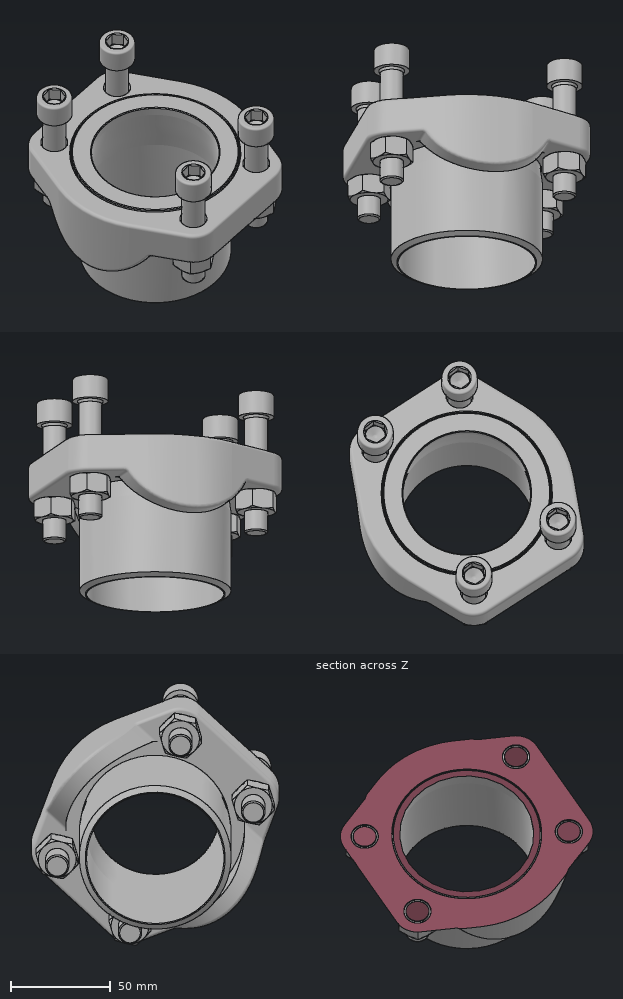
import cadquery as cq
import math

FLANGE_LENGTH = 115.0
FLANGE_TOP = 69.5
PLATE_THICKNESS = 19.1
PLATE_BOTTOM = FLANGE_TOP - PLATE_THICKNESS
CENTRE_RADIUS = 54.5
EDGE_FILLET = 2.0

SCREW_X = 88.9 / 2
SCREW_Y = 50.8 / 2
SCREW_POINTS = [(i * SCREW_X, j * SCREW_Y) for i in (-1, 1) for j in (-1, 1)]
SCREW_HOLE_DIAMETER = 13.5

LOBE_RADIUS = 36.0
LOBE_BOTTOM = 31.5
CREASE_FILLET = 2.0
LOBE_RECESS_DIAMETER = 89.7

FLANGE_BORE_DIAMETER = 75.0
COUNTERBORE_DIAMETER = 85.0
COUNTERBORE_CHAMFER = 0.5

SLEEVE_TOP = 70.0
COLLAR_DIAMETER = 84.1
COLLAR_BOTTOM = 62.0
COLLAR_CHAMFER = 0.5
NECK_DIAMETER = 74.0
NECK_BOTTOM = 49.9
TUBE_DIAMETER = 76.1
TUBE_TOP = 41.9
BEVEL_WIDTH = 3.0
BEVEL_HEIGHT = 1.7
MOUTH_DIAMETER = 64.0
MOUTH_BOTTOM = 65.0
MOUTH_CHAMFER = 0.5
TUBE_BORE_DIAMETER = 68.9

SCREW_TOP = 101.5
HEAD_DIAMETER = 18.0
HEAD_HEIGHT = 12.0
HEAD_FILLET = 1.2
NECKING_DIAMETER = 13.0
NECKING_HEIGHT = 1.4
SHANK_DIAMETER = 11.7
SHANK_LENGTH = 60.0
SHANK_CHAMFER = 0.7
SOCKET_WIDTH = 10.0
SOCKET_MOUTH_DIAMETER = 11.7
SOCKET_DEPTH = 7.0
SOCKET_TURN = 35.0

NUT_WIDTH = 19.0
NUT_HEIGHT = 10.0
COS_30 = math.cos(math.radians(30))
TAN_30 = math.tan(math.radians(30))


def flange_outline():
    """Centre arcs and corner arcs joined by their common tangent lines."""
    half_length = FLANGE_LENGTH / 2
    corner_radius = half_length - SCREW_X
    spacing = math.hypot(SCREW_X, SCREW_Y)
    normal = math.atan2(SCREW_Y, SCREW_X) + math.acos((CENTRE_RADIUS - corner_radius) / spacing)

    def on_centre_arc(angle):
        return CENTRE_RADIUS * math.cos(angle), CENTRE_RADIUS * math.sin(angle)

    def on_corner_arc(angle):
        return SCREW_X + corner_radius * math.cos(angle), SCREW_Y + corner_radius * math.sin(angle)

    def mirrored(point, x_sign, y_sign):
        return x_sign * point[0], y_sign * point[1]

    crown_end = on_centre_arc(normal)
    corner_start = on_corner_arc(normal)
    corner_middle = on_corner_arc(normal / 2)
    corner_end = on_corner_arc(0)
    return (
        cq.Workplane("XY")
        .moveTo(*mirrored(crown_end, -1, 1))
        .threePointArc((0, CENTRE_RADIUS), crown_end)
        .lineTo(*corner_start)
        .threePointArc(corner_middle, corner_end)
        .lineTo(*mirrored(corner_end, 1, -1))
        .threePointArc(mirrored(corner_middle, 1, -1), mirrored(corner_start, 1, -1))
        .lineTo(*mirrored(crown_end, 1, -1))
        .threePointArc((0, -CENTRE_RADIUS), mirrored(crown_end, -1, -1))
        .lineTo(*mirrored(corner_start, -1, -1))
        .threePointArc(mirrored(corner_middle, -1, -1), mirrored(corner_end, -1, -1))
        .lineTo(*mirrored(corner_end, -1, 1))
        .threePointArc(mirrored(corner_middle, -1, 1), mirrored(corner_start, -1, 1))
        .close()
    )


def disc(diameter, bottom, top):
    return cq.Workplane("XY").workplane(offset=bottom).circle(diameter / 2).extrude(top - bottom)


def revolved(section):
    """Solid of revolution about Z from (radius, height) points."""
    return cq.Workplane("XZ").polyline(section).close().revolve(360, (0, 0, 0), (0, 1, 0))


def make_flange():
    belly_centre = LOBE_BOTTOM + LOBE_RADIUS
    crease_x = math.sqrt(LOBE_RADIUS**2 - (belly_centre - PLATE_BOTTOM) ** 2)
    profile = (
        cq.Workplane("XZ")
        .moveTo(-FLANGE_LENGTH, FLANGE_TOP)
        .lineTo(-FLANGE_LENGTH, PLATE_BOTTOM)
        .lineTo(-crease_x, PLATE_BOTTOM)
        .threePointArc((0, LOBE_BOTTOM), (crease_x, PLATE_BOTTOM))
        .lineTo(FLANGE_LENGTH, PLATE_BOTTOM)
        .lineTo(FLANGE_LENGTH, FLANGE_TOP)
        .close()
    )
    block = profile.extrude(CENTRE_RADIUS, both=True)
    for x_sign in (-1, 1):
        crease = cq.selectors.NearestToPointSelector((x_sign * crease_x, 0, PLATE_BOTTOM))
        block = block.edges(crease).fillet(CREASE_FILLET)

    body = flange_outline().extrude(FLANGE_TOP).intersect(block)
    body = body.edges(">Z").fillet(EDGE_FILLET)
    body = body.faces("<X").edges("<Z").fillet(EDGE_FILLET)

    body = body.cut(disc(LOBE_RECESS_DIAMETER, 0, PLATE_BOTTOM))

    bore_radius = FLANGE_BORE_DIAMETER / 2
    counterbore_radius = COUNTERBORE_DIAMETER / 2
    sleeve_opening = revolved(
        [
            (0, 0),
            (bore_radius, 0),
            (bore_radius, COLLAR_BOTTOM),
            (counterbore_radius, COLLAR_BOTTOM),
            (counterbore_radius, FLANGE_TOP - COUNTERBORE_CHAMFER),
            (counterbore_radius + COUNTERBORE_CHAMFER, FLANGE_TOP),
            (0, FLANGE_TOP),
        ]
    )

    holes = (
        cq.Workplane("XY").pushPoints(SCREW_POINTS).circle(SCREW_HOLE_DIAMETER / 2).extrude(FLANGE_TOP)
    )
    return body.cut(sleeve_opening).cut(holes)


def make_sleeve():
    collar_radius = COLLAR_DIAMETER / 2
    neck_radius = NECK_DIAMETER / 2
    tube_radius = TUBE_DIAMETER / 2
    bore_radius = TUBE_BORE_DIAMETER / 2
    mouth_radius = MOUTH_DIAMETER / 2
    section = [
        (bore_radius, 0),
        (tube_radius - BEVEL_WIDTH, 0),
        (tube_radius, BEVEL_HEIGHT),
        (tube_radius, TUBE_TOP),
        (neck_radius, NECK_BOTTOM),
        (neck_radius, COLLAR_BOTTOM),
        (collar_radius, COLLAR_BOTTOM),
        (collar_radius, SLEEVE_TOP - COLLAR_CHAMFER),
        (collar_radius - COLLAR_CHAMFER, SLEEVE_TOP),
        (mouth_radius + MOUTH_CHAMFER, SLEEVE_TOP),
        (mouth_radius, SLEEVE_TOP - MOUTH_CHAMFER),
        (mouth_radius, MOUTH_BOTTOM),
        (bore_radius, TUBE_TOP),
    ]
    return revolved(section)


def make_screw():
    """Screw on the Z axis."""
    head_bottom = SCREW_TOP - HEAD_HEIGHT
    shank_bottom = head_bottom - SHANK_LENGTH
    head = disc(HEAD_DIAMETER, head_bottom, SCREW_TOP).faces(">Z").edges().fillet(HEAD_FILLET)
    shank = disc(SHANK_DIAMETER, shank_bottom, head_bottom).faces("<Z").chamfer(SHANK_CHAMFER)
    necking = revolved(
        [
            (0, head_bottom - NECKING_HEIGHT),
            (SHANK_DIAMETER / 2, head_bottom - NECKING_HEIGHT),
            (NECKING_DIAMETER / 2, head_bottom),
            (0, head_bottom),
        ]
    )
    return head.union(shank).union(necking).cut(make_socket())


def make_socket():
    """Hexagon socket with a countersunk mouth and a drill point at its bottom."""
    corner_diameter = SOCKET_WIDTH / COS_30
    socket_bottom = SCREW_TOP - SOCKET_DEPTH
    hexagon = (
        cq.Workplane("XY")
        .workplane(offset=socket_bottom)
        .polygon(6, corner_diameter)
        .extrude(SOCKET_DEPTH)
        .rotate((0, 0, 0), (0, 0, 1), SOCKET_TURN)
    )
    mouth_radius = SOCKET_MOUTH_DIAMETER / 2
    mouth = revolved(
        [(0, SCREW_TOP), (mouth_radius, SCREW_TOP), (0, SCREW_TOP - mouth_radius * TAN_30)]
    )
    point_radius = SOCKET_WIDTH / 2
    point = revolved(
        [(0, socket_bottom), (point_radius, socket_bottom), (0, socket_bottom - point_radius * TAN_30)]
    )
    return hexagon.union(mouth).union(point)


def make_nut():
    """Nut on the Z axis with its corners turned off at both ends."""
    top = PLATE_BOTTOM
    bottom = top - NUT_HEIGHT
    face_radius = NUT_WIDTH / 2
    corner_radius = face_radius / COS_30
    corner_drop = (corner_radius - face_radius) * TAN_30
    hexagon = (
        cq.Workplane("XY").workplane(offset=bottom).polygon(6, 2 * corner_radius).extrude(NUT_HEIGHT)
    )
    turned = revolved(
        [
            (0, bottom),
            (face_radius, bottom),
            (corner_radius, bottom + corner_drop),
            (corner_radius, top - corner_drop),
            (face_radius, top),
            (0, top),
        ]
    )
    return hexagon.intersect(turned).cut(disc(SHANK_DIAMETER, bottom, top))


flange = make_flange()
sleeve = make_sleeve()
screws = []
nuts = []
for x, y in SCREW_POINTS:
    screws.append(make_screw().translate((x, y, 0)).val())
    nuts.append(make_nut().translate((x, y, 0)).val())

result = cq.Compound.makeCompound([flange.val(), sleeve.val(), *screws, *nuts])